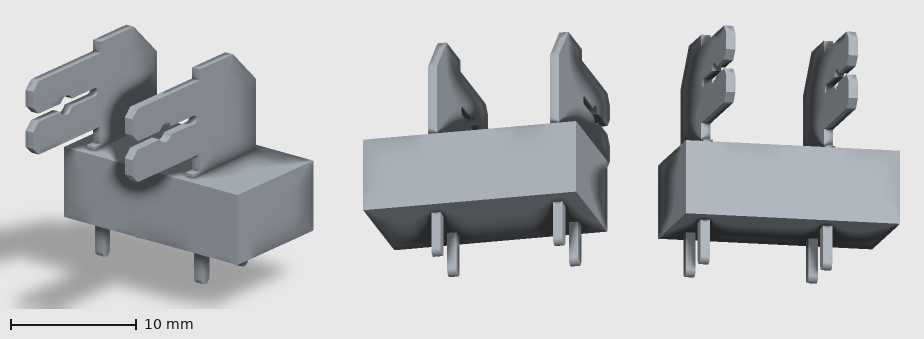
import cadquery as cq

HOUSING_WIDTH = 17.5
HOUSING_DEPTH = 9.8
HOUSING_HEIGHT = 5.95

TOTAL_HEIGHT = 18.5
TOTAL_DEPTH = 16.85

BLADE_THICKNESS = 0.75
BLADE_PITCH = 10.0
FIRST_BLADE_INSET = 2.02
PLATE_FRONT = 1.65
PLATE_BACK = 8.94
PLATE_CHAMFER = 2.98
FOOT_FRONT = 0.81
FOOT_HEIGHT = 0.31

TAB_DROP = 0.95
TAB_HEIGHT = 6.25
TIP_CHAMFER = 0.7
SLOT_WIDTH = 0.7
SLOT_END = 1.28
RELIEF_RADIUS = 0.81
RELIEF_Y = -2.75

PIN_WIDTH = 1.0
PIN_PITCH = 5.0
FRONT_PIN_Y = 2.4
PIN_LENGTH = 3.53

PLATE_TOP = TOTAL_HEIGHT - PIN_LENGTH
TAB_FRONT = HOUSING_DEPTH - TOTAL_DEPTH
TAB_TOP = PLATE_TOP - TAB_DROP
TAB_BOTTOM = TAB_TOP - TAB_HEIGHT
TAB_MIDDLE = (TAB_TOP + TAB_BOTTOM) / 2
PRONG_HEIGHT = (TAB_HEIGHT - SLOT_WIDTH) / 2

FIRST_BLADE_X = FIRST_BLADE_INSET - HOUSING_WIDTH / 2
BLADE_XS = [FIRST_BLADE_X, FIRST_BLADE_X + BLADE_PITCH]
PIN_YS = [FRONT_PIN_Y, FRONT_PIN_Y + PIN_PITCH]


def blade_plane(x):
    """YZ sketch plane on the -X face of a blade whose middle is at x."""
    return cq.Workplane("YZ", origin=(x - BLADE_THICKNESS / 2, 0, 0))


def make_plate(x):
    """Upright plate with a sloped back corner and a small foot on the housing."""
    return (
        blade_plane(x)
        .moveTo(FOOT_FRONT, HOUSING_HEIGHT)
        .lineTo(PLATE_BACK, HOUSING_HEIGHT)
        .lineTo(PLATE_BACK, PLATE_TOP - PLATE_CHAMFER)
        .lineTo(PLATE_BACK - PLATE_CHAMFER, PLATE_TOP)
        .lineTo(PLATE_FRONT, PLATE_TOP)
        .lineTo(PLATE_FRONT, HOUSING_HEIGHT + FOOT_HEIGHT)
        .lineTo(FOOT_FRONT, HOUSING_HEIGHT + FOOT_HEIGHT)
        .close()
        .extrude(BLADE_THICKNESS)
    )


def make_prong(x, bottom):
    """One prong of the forked tab, with both tip corners chamfered."""
    top = bottom + PRONG_HEIGHT
    return (
        blade_plane(x)
        .moveTo(PLATE_FRONT, bottom)
        .lineTo(PLATE_FRONT, top)
        .lineTo(TAB_FRONT + TIP_CHAMFER, top)
        .lineTo(TAB_FRONT, top - TIP_CHAMFER)
        .lineTo(TAB_FRONT, bottom + TIP_CHAMFER)
        .lineTo(TAB_FRONT + TIP_CHAMFER, bottom)
        .close()
        .extrude(BLADE_THICKNESS)
    )


def make_slot_root(x):
    """Web joining the prongs behind the slot, with the slot's rounded end."""
    slot_radius = SLOT_WIDTH / 2
    slot_bottom = TAB_MIDDLE - slot_radius
    slot_top = TAB_MIDDLE + slot_radius
    return (
        blade_plane(x)
        .moveTo(PLATE_FRONT, slot_bottom)
        .lineTo(SLOT_END - slot_radius, slot_bottom)
        .threePointArc((SLOT_END, TAB_MIDDLE), (SLOT_END - slot_radius, slot_top))
        .lineTo(PLATE_FRONT, slot_top)
        .close()
        .extrude(BLADE_THICKNESS)
    )


def make_pin(x, y):
    """Pin from the plate down through the housing, ending in a full round."""
    pin_radius = PIN_WIDTH / 2
    round_start = pin_radius - PIN_LENGTH
    return (
        blade_plane(x)
        .moveTo(y - pin_radius, HOUSING_HEIGHT)
        .lineTo(y - pin_radius, round_start)
        .threePointArc((y, -PIN_LENGTH), (y + pin_radius, round_start))
        .lineTo(y + pin_radius, HOUSING_HEIGHT)
        .close()
        .extrude(BLADE_THICKNESS)
    )


def make_terminal(x):
    """Plate, forked tab and two pins as one flat piece."""
    terminal = make_plate(x).union(make_slot_root(x))
    for bottom in (TAB_BOTTOM, TAB_TOP - PRONG_HEIGHT):
        terminal = terminal.union(make_prong(x, bottom))
    for y in PIN_YS:
        terminal = terminal.union(make_pin(x, y))
    relief = (
        blade_plane(x)
        .center(RELIEF_Y, TAB_MIDDLE)
        .circle(RELIEF_RADIUS)
        .extrude(BLADE_THICKNESS)
    )
    return terminal.cut(relief).solids().val()


def make_housing():
    """Plain block with a rectangular through hole for every pin."""
    block = cq.Workplane("XY").box(
        HOUSING_WIDTH, HOUSING_DEPTH, HOUSING_HEIGHT, centered=(True, False, False)
    )
    pin_places = [(x, y) for x in BLADE_XS for y in PIN_YS]
    holes = (
        cq.Workplane("XY")
        .pushPoints(pin_places)
        .rect(BLADE_THICKNESS, PIN_WIDTH)
        .extrude(HOUSING_HEIGHT)
    )
    return block.cut(holes).solids().val()


housing = make_housing()
terminals = [make_terminal(x) for x in BLADE_XS]

result = cq.Compound.makeCompound([housing, *terminals])